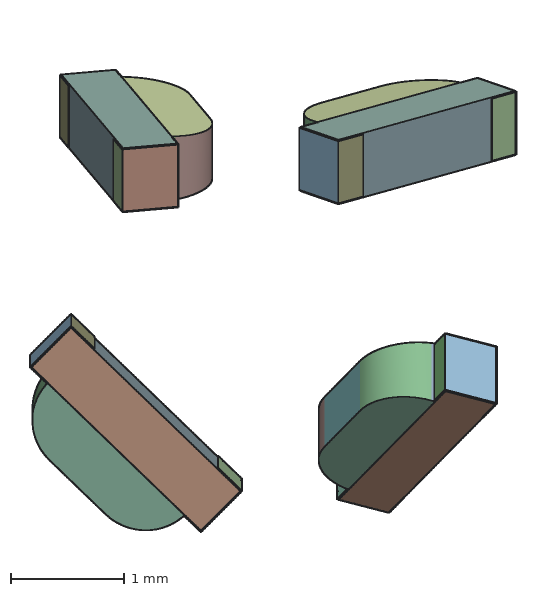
import cadquery as cq

length = 2.12
depth = 1.0

plating = 0.01
terminal_front_width = 0.295
terminal_inset = 0.01

housing_length = length - 2 * plating
housing_depth = 0.5
housing_height = 0.6
housing_front = -depth / 2 + plating
housing_back = housing_front + housing_depth

lens_length = 1.7
lens_depth = depth / 2 - housing_back
lens_draft = 5.0
lens_corner_radius = 0.5

terminal_back_width = (length - lens_length) / 2
terminal_height = housing_height - 2 * terminal_inset


def make_housing():
    return (
        cq.Workplane("XY")
        .box(housing_length, housing_depth, housing_height)
        .translate((0, housing_front + housing_depth / 2, 0))
    )


def make_lens():
    """Grow the lens from the back face of the housing and round its upright corners."""
    back_face = cq.Plane(origin=(0, housing_back, 0), xDir=(1, 0, 0), normal=(0, 1, 0))
    blank = (
        cq.Workplane(back_face)
        .rect(lens_length, housing_height)
        .extrude(lens_depth, taper=lens_draft)
    )
    return blank.faces(">Y").edges("|Z").fillet(lens_corner_radius)


def make_terminal(side):
    """Wrap plating around the front, end and back of the housing; side is -1 or +1 along X."""
    outer_end = side * length / 2
    inner_end = side * housing_length / 2
    front_edge = outer_end - side * terminal_front_width
    back_edge = outer_end - side * terminal_back_width
    outline = [
        (front_edge, housing_front - plating),
        (outer_end, housing_front - plating),
        (outer_end, housing_back + plating),
        (back_edge, housing_back + plating),
        (back_edge, housing_back),
        (inner_end, housing_back),
        (inner_end, housing_front),
        (front_edge, housing_front),
    ]
    return (
        cq.Workplane("XY", origin=(0, 0, -terminal_height / 2))
        .polyline(outline)
        .close()
        .extrude(terminal_height)
    )


housing = make_housing()
lens = make_lens()
terminals = [make_terminal(side) for side in (-1, 1)]

result = cq.Compound.makeCompound(
    [housing.val(), lens.val(), *[terminal.val() for terminal in terminals]]
)